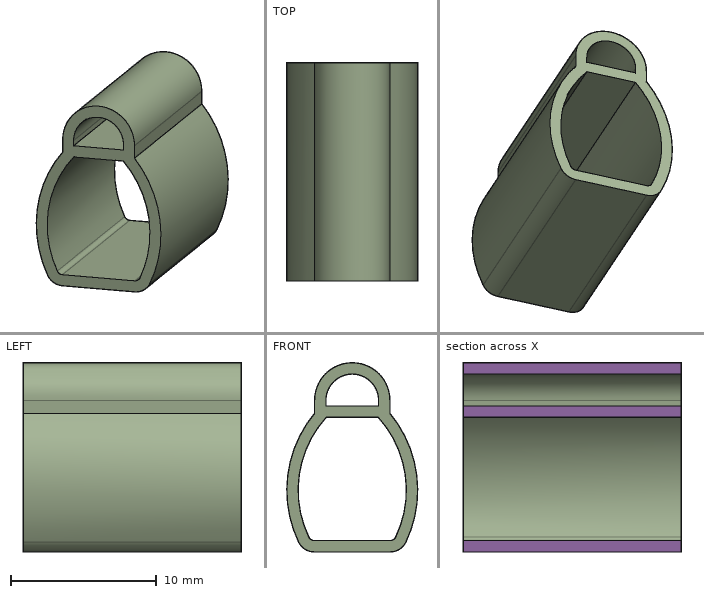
import cadquery as cq
import math

length = 15.0
height = 13.0
body_width = 9.0
wall = 0.8
tube_radius = 2.6
bridge_top = 10.04
side_radius = 8.25
side_center_height = 4.25
corner_radius = 1.2

tube_center_height = height - tube_radius
bridge_bottom = bridge_top - wall
side_center_x = side_radius - body_width / 2
neck_height = side_center_height + math.sqrt(side_radius**2 - (side_center_x + tube_radius) ** 2)


def side_half_width(z, radius):
    """Half width of the bulging body at height z, for one side wall radius."""
    return math.sqrt(radius**2 - (z - side_center_height) ** 2) - side_center_x


def extrude_profile(profile):
    """Extrude an XZ outline along the part, centered on Y."""
    return profile.close().extrude(length / 2, both=True)


def bulged_body(bottom, top, radius, fillet_radius):
    """Barrel-sided prism with a flat top and bottom and rounded lower corners."""
    low = side_half_width(bottom, radius)
    high = side_half_width(top, radius)
    widest = radius - side_center_x
    profile = (
        cq.Workplane("XZ")
        .moveTo(-low, bottom)
        .lineTo(low, bottom)
        .threePointArc((widest, side_center_height), (high, top))
        .lineTo(-high, top)
        .threePointArc((-widest, side_center_height), (-low, bottom))
    )
    return extrude_profile(profile).edges("|Y and <Z").fillet(fillet_radius)


def arched_prism(bottom, radius):
    """Flat-bottomed prism with straight sides and a half-round top."""
    profile = (
        cq.Workplane("XZ")
        .moveTo(-radius, bottom)
        .lineTo(radius, bottom)
        .lineTo(radius, tube_center_height)
        .threePointArc((0, tube_center_height + radius), (-radius, tube_center_height))
    )
    return extrude_profile(profile)


outer_body = bulged_body(0, neck_height, side_radius, corner_radius)
outer_tube = arched_prism(bridge_bottom, tube_radius)

main_opening = bulged_body(wall, bridge_bottom, side_radius - wall, corner_radius - wall)
tube_opening = arched_prism(bridge_top, tube_radius - wall)

result = outer_body.union(outer_tube).cut(main_opening).cut(tube_opening)